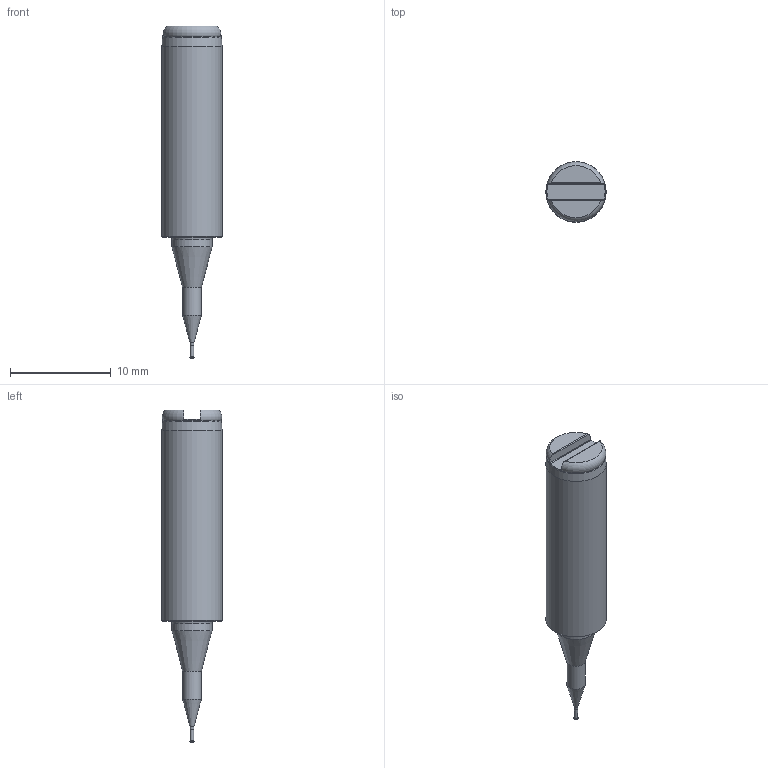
import cadquery as cq
import math

total_height = 33.0
body_bottom = 12.0
collar_bottom = 31.0
head_bottom = 31.95
neck_step = 11.75
upper_cone_top = 11.05
upper_cone_bottom = 7.03
lower_cone_top = 4.24
lower_cone_bottom = 1.5
shank_top = 1.2
tip_height = 0.15

body_radius = 3.0
collar_top_radius = 2.92
neck_radius = 2.0
neck_root_radius = 2.05
stem_radius = 0.93
shank_radius = 0.16
cone_tip_radius = 0.19
tip_radius = 0.23

body_chamfer = 0.1
collar_lip_height = 0.08
tip_rim_inset = 0.08

head_bulge_radius = 2.97
head_bulge_height = 32.3
head_top_radius = 2.6

slot_width = 1.65
slot_depth = 0.93
slot_fillet = 0.08


def bulge_radius_at(height):
    """Radius of the head flank, a circular arc through the widest point and the top rim."""
    rise = total_height - head_bulge_height
    inset = head_bulge_radius - head_top_radius
    arc_radius = (rise**2 + inset**2) / (2 * inset)
    offset = height - head_bulge_height
    return head_bulge_radius - arc_radius + math.sqrt(arc_radius**2 - offset**2)


def turned_body():
    """Revolve the half outline of the tool, from tip to head, about the Z axis."""
    outline = (
        cq.Workplane("XZ")
        .moveTo(0, 0)
        .lineTo(tip_radius - tip_rim_inset, 0)
        .lineTo(tip_radius, tip_height / 2)
        .lineTo(shank_radius, tip_height)
        .lineTo(shank_radius, shank_top)
        .lineTo(cone_tip_radius, lower_cone_bottom)
        .lineTo(stem_radius, lower_cone_top)
        .lineTo(stem_radius, upper_cone_bottom)
        .lineTo(neck_radius, upper_cone_top)
        .lineTo(neck_radius, neck_step)
        .lineTo(neck_root_radius, body_bottom)
        .lineTo(body_radius - body_chamfer, body_bottom)
        .lineTo(body_radius, body_bottom + body_chamfer)
        .lineTo(body_radius, collar_bottom)
        .lineTo(collar_top_radius, head_bottom - collar_lip_height)
        .lineTo(bulge_radius_at(head_bottom), head_bottom)
        .threePointArc((head_bulge_radius, head_bulge_height), (head_top_radius, total_height))
        .lineTo(0, total_height)
        .close()
    )
    return outline.revolve(360, (0, 0, 0), (0, 1, 0))


def cut_driver_slot(body):
    """Cut the slot across the head, rounding its floor edges and its rim."""
    groove = (
        cq.Workplane("XY")
        .workplane(offset=total_height - slot_depth)
        .rect(3 * body_radius, slot_width)
        .extrude(2 * slot_depth)
        .edges("|X and <Z")
        .fillet(slot_fillet)
    )
    slotted = body.cut(groove)
    return slotted.faces(">Z").edges("|X").fillet(slot_fillet)


result = cut_driver_slot(turned_body())